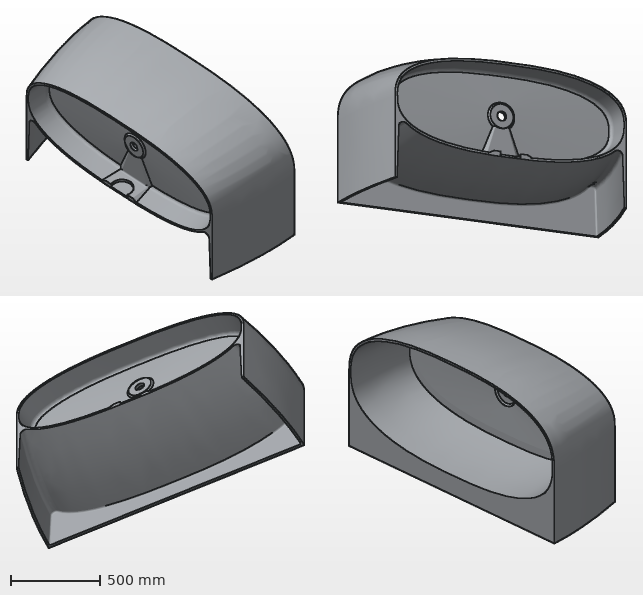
import cadquery as cq
import math


RIM_HALF_WIDTH = 800.0
DEPTH = 580.0
AXIS_Z = 480.0
RIM_HALF_HEIGHT = 368.0
FLARE = 90.0
FLARE_POWER = 1.75
OVAL_POWER = 2.55
SPAN_POINTS = 28
SECTION_SPANS = 4

WALL = 15.0
RIM_PLATE = 16.0
LEG_FOOT_WALL = 13.0
LEG_TOP_WALL = 25.0
LEG_CORNER_RADIUS = 27.0
RIM_FILLET = 10.0

RECESS_DEPTH = 140.0
RECESS_NARROWING = 10.0
RECESS_FILLET = 24.0
FLOOR_THICKNESS = 20.0
CROWN_HEIGHT = 11.0

DRAIN_RADIUS = 27.0
BOSS_TOP_RADIUS = 70.0
BOSS_BASE_RADIUS = 82.0
BOSS_HEIGHT = 10.0

CHANNEL_STEP = 2.0
CHANNEL_TOP_Z = 422.0
CHANNEL_TOP_HALF_WIDTH = 37.0
PAD_HALF_WIDTH = 102.0
PAD_SLOPE_WIDTH = 35.0
CHANNEL_SLOPE_WIDTH = 45.0
PAD_Z = 232.0
PAD_FILLET = 10.0
EDGE_ROUND = 6.0
NOTCH_RADIUS = 65.0
NOTCH_CENTRE_Y = 22.0
NOTCH_FLOOR_Z = 215.0

CROWN_Y = RECESS_DEPTH - CROWN_HEIGHT
BOSS_Y = CROWN_Y - BOSS_HEIGHT
CHANNEL_Y = BOSS_Y + CHANNEL_STEP
FLOOR_BACK_Y = RECESS_DEPTH + FLOOR_THICKNESS
EMBED_Y = RECESS_DEPTH + FLOOR_THICKNESS / 2
PAD_BASE_Z = AXIS_Z - RIM_HALF_HEIGHT + FLARE + WALL / 2
RECESS_INSET = FLARE + WALL
ROUND_INSET = RECESS_INSET + RECESS_NARROWING
ROUND_START_Y = RECESS_DEPTH - RECESS_FILLET


def inset_at(y):
    """Distance by which the outline at depth y lies inside the rim outline."""
    return FLARE * (1 - y / DEPTH) ** FLARE_POWER


def stations(start, end):
    return [start + (end - start) * i / SECTION_SPANS for i in range(SECTION_SPANS + 1)]


def half_oval(half_width, half_height, side, reach=math.pi / 2):
    """Points of the upper (side=1) or lower (side=-1) half oval, from -X to +X."""
    points = []
    for i in range(SPAN_POINTS + 1):
        angle = reach * (2 * i / SPAN_POINTS - 1)
        across = math.sin(angle)
        up = math.cos(angle)
        size = (abs(across) ** OVAL_POWER + abs(up) ** OVAL_POWER) ** (1 / OVAL_POWER)
        points.append((half_width * across / size, AXIS_Z + side * half_height * up / size))
    return points


def section(y):
    return cq.Workplane("XZ", origin=(0, y, 0))


def oval_wire(y, half_width, half_height):
    upper = half_oval(half_width, half_height, 1)
    lower = half_oval(half_width, half_height, -1)
    return section(y).spline(upper + lower[-2:0:-1], periodic=True).wire().val()


def inset_oval_wire(y, inset):
    """Closed oval lying `inset` inside the rim outline."""
    return oval_wire(y, RIM_HALF_WIDTH - inset, RIM_HALF_HEIGHT - inset)


def arch_wire(y):
    """Outer outline: half oval on straight skirt walls."""
    half_width = RIM_HALF_WIDTH - inset_at(y)
    arch = half_oval(half_width, RIM_HALF_HEIGHT - inset_at(y), 1)
    wire = section(y).moveTo(-half_width, 0).lineTo(*arch[0])
    return wire.spline(arch[1:], includeCurrent=True).lineTo(half_width, 0).close().val()


def underspace_wire(y):
    """Open space below the tub, between the two skirt walls."""
    half_width = RIM_HALF_WIDTH - inset_at(y)
    top_x = half_width - LEG_TOP_WALL
    across = top_x / half_width
    reach = math.atan2(across, (1 - across ** OVAL_POWER) ** (1 / OVAL_POWER))
    belly = half_oval(half_width, RIM_HALF_HEIGHT - inset_at(y), -1, reach)
    foot_x = half_width - LEG_FOOT_WALL
    wire = section(y).moveTo(-foot_x, 0).lineTo(*belly[0])
    return wire.spline(belly[1:], includeCurrent=True).lineTo(foot_x, 0).close().val()


def make_body():
    return cq.Workplane(cq.Solid.makeLoft([arch_wire(y) for y in stations(0, DEPTH)]))


def make_underspace():
    wires = [underspace_wire(y) for y in stations(0, DEPTH - RIM_PLATE)]
    space = cq.Workplane(cq.Solid.makeLoft(wires))
    corners = cq.selectors.BoxSelector((-960, 16, 240), (960, DEPTH - 32, 464))
    space = space.edges(corners).fillet(LEG_CORNER_RADIUS)
    return space.faces(">Y").edges("not <Z").fillet(RIM_FILLET)


def make_basin():
    wires = [inset_oval_wire(y, inset_at(y) + WALL) for y in stations(FLOOR_BACK_Y, DEPTH)]
    return cq.Workplane(cq.Solid.makeLoft(wires))


def make_recess_wall():
    wires = [inset_oval_wire(0, RECESS_INSET), inset_oval_wire(ROUND_START_Y, ROUND_INSET)]
    return cq.Workplane(cq.Solid.makeLoft(wires, True))


def make_recess_round():
    """Deep end of the recess, with a quarter-round from wall to floor."""
    wires = []
    for i in range(SECTION_SPANS + 1):
        angle = math.pi / 2 * i / SECTION_SPANS
        y = ROUND_START_Y + RECESS_FILLET * math.sin(angle)
        wires.append(inset_oval_wire(y, ROUND_INSET + RECESS_FILLET * (1 - math.cos(angle))))
    return cq.Workplane(cq.Solid.makeLoft(wires))


def make_crown():
    """Shallow bulge of the recess floor, highest at the drain."""
    base = inset_oval_wire(RECESS_DEPTH, ROUND_INSET)
    tip = oval_wire(CROWN_Y, BOSS_TOP_RADIUS, BOSS_TOP_RADIUS)
    return cq.Workplane(cq.Solid.makeLoft([base, tip], True))


def make_boss():
    profile = [(0, EMBED_Y), (BOSS_BASE_RADIUS, EMBED_Y), (BOSS_BASE_RADIUS, CROWN_Y),
               (BOSS_TOP_RADIUS, BOSS_Y), (0, BOSS_Y)]
    boss = cq.Workplane("XY").polyline(profile).close().revolve(360, (0, 0, 0), (0, 1, 0))
    return boss.translate((0, 0, AXIS_Z))


def channel_wire(y, spread):
    top = CHANNEL_TOP_HALF_WIDTH + spread
    low = PAD_HALF_WIDTH + spread
    outline = [(-top, CHANNEL_TOP_Z), (top, CHANNEL_TOP_Z), (low, PAD_BASE_Z), (-low, PAD_BASE_Z)]
    return section(y).polyline(outline).close().val()


def make_channel():
    wires = [channel_wire(EMBED_Y, CHANNEL_SLOPE_WIDTH), channel_wire(CHANNEL_Y, 0)]
    channel = cq.Workplane(cq.Solid.makeLoft(wires, True))
    return channel.faces("<Y").edges("not |X").fillet(EDGE_ROUND)


def make_pad():
    base = PAD_HALF_WIDTH + PAD_SLOPE_WIDTH
    outline = [(-base, PAD_BASE_Z), (base, PAD_BASE_Z), (base, NOTCH_FLOOR_Z), (PAD_HALF_WIDTH, PAD_Z),
               (-PAD_HALF_WIDTH, PAD_Z), (-base, NOTCH_FLOOR_Z)]
    pad = section(0).polyline(outline).close().extrude(-EMBED_Y)
    return pad.faces(">Z").edges("|Y").fillet(EDGE_ROUND)


def make_raised_path():
    """Channel and pad, with the corner between them rounded."""
    path = make_channel().union(make_pad())
    corner = cq.selectors.BoxSelector((-16, CHANNEL_Y - 2.0, PAD_Z - 2.0), (16, CHANNEL_Y + 2.0, PAD_Z + 2.0))
    return path.edges(corner).fillet(PAD_FILLET)


def make_notch():
    plane = cq.Workplane("XY", origin=(0, NOTCH_CENTRE_Y, NOTCH_FLOOR_Z))
    return plane.circle(NOTCH_RADIUS).extrude(2 * (PAD_Z - NOTCH_FLOOR_Z))


def make_drain():
    return section(0).center(0, AXIS_Z).circle(DRAIN_RADIUS).extrude(-DEPTH)


result = make_body().cut(make_underspace()).cut(make_basin())
result = result.cut(make_recess_wall()).cut(make_recess_round())
crown = make_crown()
boss = make_boss()
for raised in (crown, boss, make_raised_path()):
    result = result.union(raised)
for dip in (crown, boss):
    result = result.cut(dip.translate((0, FLOOR_THICKNESS, 0)))
result = result.cut(make_notch()).cut(make_drain())